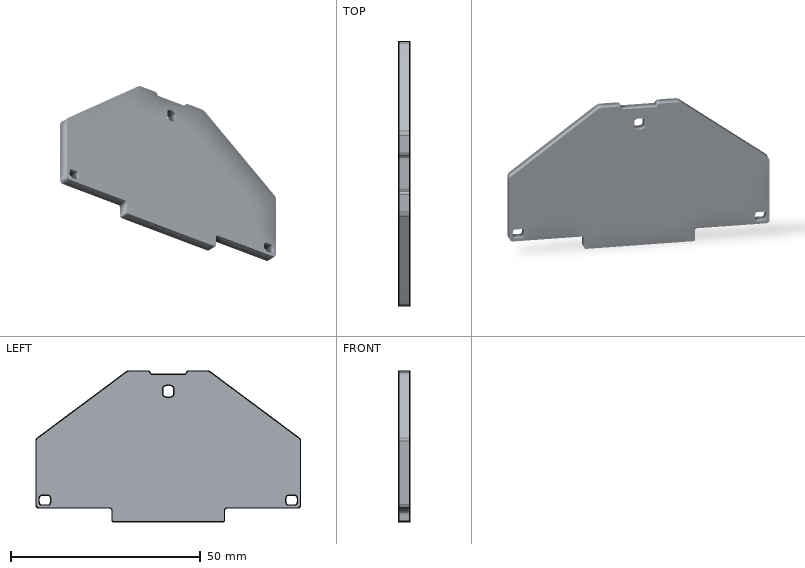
import cadquery as cq
import math

thickness = 3.0
length = 70.0
height = 39.9
half_length = length / 2
top_z = height / 2
bottom_z = -height / 2

crest_half_width = 10.75
slope_drop = 18.05
tab_half_width = 14.9
tab_height = 3.6
shoulder_z = bottom_z + tab_height
slope_foot_z = top_z - slope_drop

crest_radius = 2.0
slope_foot_radius = 1.0
shoulder_radius = 0.9
tab_root_radius = 0.6
tab_corner_radius = 0.4

notch_depth = 0.9
notch_floor_half_width = 4.3
notch_floor_radius = 0.45
notch_lip_radius = 0.75
notch_floor_z = top_z - notch_depth

window_corner_radius = 0.45

upper_window_width = 2.8
upper_window_height = 3.2
upper_window_bow = 0.5
upper_window_z = top_z - 5.4

lower_window_length = 3.1
lower_window_height = 2.5
lower_window_bow = 0.35
lower_window_y = 32.6
lower_window_z = shoulder_z + 2.1


def notch_flank():
    """Points along one flank, from the floor to the top edge, for +Y.

    They are the floor end, floor arc middle, arc junction, lip arc middle and lip end.
    """
    steepest = math.acos(1 - notch_depth / (notch_floor_radius + notch_lip_radius))
    run = (notch_floor_radius + notch_lip_radius) * math.sin(steepest)
    lip_y = notch_floor_half_width + run

    def floor_arc(angle):
        return (
            notch_floor_half_width + notch_floor_radius * math.sin(angle),
            notch_floor_z + notch_floor_radius * (1 - math.cos(angle)),
        )

    def lip_arc(angle):
        return (
            lip_y - notch_lip_radius * math.sin(angle),
            top_z - notch_lip_radius * (1 - math.cos(angle)),
        )

    return [
        floor_arc(0),
        floor_arc(steepest / 2),
        floor_arc(steepest),
        lip_arc(steepest / 2),
        lip_arc(0),
    ]


def mirrored(points):
    """The points reflected to the other side of Y = 0, in reverse order."""
    return [(-y, z) for y, z in reversed(points)]


def make_plate():
    corner_radii = {
        (crest_half_width, top_z): crest_radius,
        (half_length, slope_foot_z): slope_foot_radius,
        (half_length, shoulder_z): shoulder_radius,
        (tab_half_width, shoulder_z): tab_root_radius,
        (tab_half_width, bottom_z): tab_corner_radius,
    }
    corners = list(corner_radii)
    floor_end, floor_middle, junction, lip_middle, lip_end = notch_flank()
    far_lip_end, far_lip_middle, far_junction, far_floor_middle, far_floor_end = mirrored(notch_flank())
    plate = (
        cq.Workplane("YZ")
        .moveTo(*floor_end)
        .threePointArc(floor_middle, junction)
        .threePointArc(lip_middle, lip_end)
        .polyline(corners + mirrored(corners) + [far_lip_end], includeCurrent=True)
        .threePointArc(far_lip_middle, far_junction)
        .threePointArc(far_floor_middle, far_floor_end)
        .close()
        .extrude(thickness / 2, both=True)
    )
    for (y, z), radius in corner_radii.items():
        for side in (-1, 1):
            corner_edge = cq.selectors.NearestToPointSelector((0, side * y, z))
            plate = plate.edges("|X").edges(corner_edge).fillet(radius)
    return plate


def bowed_window(y, z, straight_span, bowed_span, bow, turn=0):
    """Cutter centred at (y, z), longer than the plate is thick.

    straight_span is the distance between the straight sides and bowed_span the
    distance between the crowns of the bowed ends, which point along Z before
    the window is turned about its own centre.
    """
    half_width = straight_span / 2
    half_height = bowed_span / 2
    spring = half_height - bow
    return (
        cq.Workplane("YZ")
        .moveTo(-half_width, -spring)
        .lineTo(-half_width, spring)
        .threePointArc((0, half_height), (half_width, spring))
        .lineTo(half_width, -spring)
        .threePointArc((0, -half_height), (-half_width, -spring))
        .close()
        .extrude(thickness, both=True)
        .edges("|X")
        .fillet(window_corner_radius)
        .rotate((0, 0, 0), (1, 0, 0), turn)
        .translate((0, y, z))
    )


upper_window = bowed_window(0, upper_window_z, upper_window_width, upper_window_height, upper_window_bow)
result = make_plate().cut(upper_window)

for side in (-1, 1):
    lower_window = bowed_window(
        side * lower_window_y,
        lower_window_z,
        lower_window_height,
        lower_window_length,
        lower_window_bow,
        turn=90,
    )
    result = result.cut(lower_window)